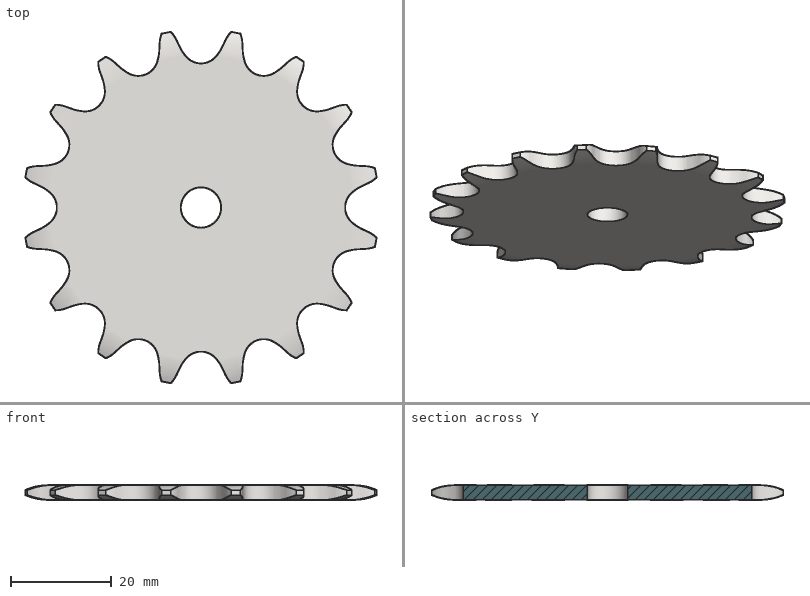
import cadquery as cq
import math


TOOTH_COUNT = 16
OUTER_SIZE = 69.9
THICKNESS = 3.0
BORE_DIAMETER = 8.0
ROLLER_DIAMETER = 7.75
CHAIN_PITCH = 12.7
SEATING_CLEARANCE = 0.1
WORKING_CLEARANCE = 0.035
FACE_RADIUS = 30.3
CROWN_RADIUS = 13.5
RIM_MARGIN = 0.7

SEATING_FACTOR = 1.005
WORKING_FACTOR = 1.3025
WORKING_OFFSET_FACTOR = 0.8
TOPPING_OFFSET_FACTOR = 1.4
SEATING_ANGLE = math.radians(35 + 60 / TOOTH_COUNT)
WORKING_ANGLE = math.radians(18 - 56 / TOOTH_COUNT)
TOPPING_ANGLE = math.radians(17 - 64 / TOOTH_COUNT)
FLANK_ANGLE = SEATING_ANGLE - WORKING_ANGLE

GAP_ANGLE = 2 * math.pi / TOOTH_COUNT
PITCH_RADIUS = CHAIN_PITCH / (2 * math.sin(GAP_ANGLE / 2))
SEATING_RADIUS = (SEATING_FACTOR * ROLLER_DIAMETER + SEATING_CLEARANCE) / 2
WORKING_RADIUS = WORKING_FACTOR * ROLLER_DIAMETER + WORKING_CLEARANCE
WORKING_OFFSET = WORKING_OFFSET_FACTOR * ROLLER_DIAMETER
TOPPING_OFFSET = TOPPING_OFFSET_FACTOR * ROLLER_DIAMETER
TOPPING_RADIUS = (
    WORKING_OFFSET * math.cos(WORKING_ANGLE) + TOPPING_OFFSET * math.cos(TOPPING_ANGLE) - WORKING_RADIUS
)
FLANK_LENGTH = TOPPING_OFFSET * math.sin(TOPPING_ANGLE) - WORKING_OFFSET * math.sin(WORKING_ANGLE)


def offset(point, distance, angle):
    """Move a point by a distance along +Y turned by the angle towards -X."""
    return (point[0] - distance * math.sin(angle), point[1] + distance * math.cos(angle))


def gap_half():
    """Points along the +Y half of the gap centred on +X, from the root to the tooth corner."""
    roller_centre = (PITCH_RADIUS, 0)
    working_centre = offset(roller_centre, -WORKING_OFFSET, SEATING_ANGLE)

    root = (PITCH_RADIUS - SEATING_RADIUS, 0)
    seating_end = offset(roller_centre, SEATING_RADIUS, SEATING_ANGLE)
    working_middle = offset(working_centre, WORKING_RADIUS, (SEATING_ANGLE + FLANK_ANGLE) / 2)
    working_end = offset(working_centre, WORKING_RADIUS, FLANK_ANGLE)
    flank_end = offset(working_end, -FLANK_LENGTH, FLANK_ANGLE + math.pi / 2)

    topping_centre = offset(flank_end, TOPPING_RADIUS, FLANK_ANGLE)
    corner_angle = math.asin((OUTER_SIZE / 2 - topping_centre[0]) / TOPPING_RADIUS)
    topping_middle = offset(topping_centre, -TOPPING_RADIUS, (FLANK_ANGLE + corner_angle) / 2)
    corner = offset(topping_centre, -TOPPING_RADIUS, corner_angle)
    return root, seating_end, working_middle, working_end, flank_end, topping_middle, corner


HALF_GAP = gap_half()
TIP_RADIUS = math.hypot(*HALF_GAP[-1])


def polar(radius, angle):
    """Point at a radius and angle about the sprocket axis."""
    return (radius * math.cos(angle), radius * math.sin(angle))


def turned(point, angle):
    """Rotate a point about the sprocket axis."""
    x, y = point
    return (x * math.cos(angle) - y * math.sin(angle), x * math.sin(angle) + y * math.cos(angle))


def toothed_plate():
    """Plate with the full tooth outline, drawn gap by gap."""
    lower_half = [(x, -y) for x, y in HALF_GAP]
    outline = cq.Workplane("XY").workplane(offset=-THICKNESS / 2).moveTo(*lower_half[-1])
    for gap in range(TOOTH_COUNT):
        angle = gap * GAP_ANGLE
        root, seat_a, work_mid_a, work_a, flank_a, top_mid_a, _ = [turned(p, angle) for p in lower_half]
        _, seat_b, work_mid_b, work_b, flank_b, top_mid_b, corner_b = [turned(p, angle) for p in HALF_GAP]
        outline = (
            outline.threePointArc(top_mid_a, flank_a)
            .lineTo(*work_a)
            .threePointArc(work_mid_a, seat_a)
            .threePointArc(root, seat_b)
            .threePointArc(work_mid_b, work_b)
            .lineTo(*flank_b)
            .threePointArc(top_mid_b, corner_b)
        )
        tip_middle = polar(TIP_RADIUS, angle + GAP_ANGLE / 2)
        next_corner = turned(lower_half[-1], angle + GAP_ANGLE)
        outline = outline.threePointArc(tip_middle, next_corner)
    return outline.close().extrude(THICKNESS)


def crowned_disc():
    """Disc with flat faces whose rim thins along an arc on both sides."""
    half = THICKNESS / 2
    rim_radius = TIP_RADIUS + RIM_MARGIN

    def crown_height(radius):
        return half - CROWN_RADIUS + math.sqrt(CROWN_RADIUS**2 - (radius - FACE_RADIUS) ** 2)

    middle_radius = (FACE_RADIUS + rim_radius) / 2
    rim_height = crown_height(rim_radius)
    middle_height = crown_height(middle_radius)
    section = (
        cq.Workplane("XZ")
        .moveTo(0, -half)
        .lineTo(FACE_RADIUS, -half)
        .threePointArc((middle_radius, -middle_height), (rim_radius, -rim_height))
        .lineTo(rim_radius, rim_height)
        .threePointArc((middle_radius, middle_height), (FACE_RADIUS, half))
        .lineTo(0, half)
        .close()
    )
    return section.revolve(360, (0, 0, 0), (0, 1, 0))


bore = cq.Workplane("XY").circle(BORE_DIAMETER / 2).extrude(THICKNESS, both=True)

result = toothed_plate().intersect(crowned_disc()).cut(bore)